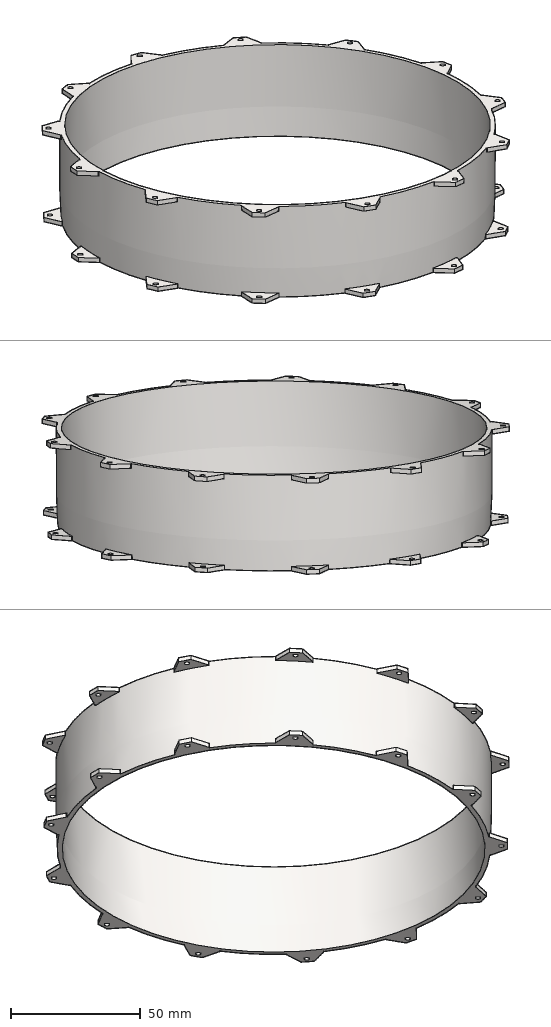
import cadquery as cq

height = 38.0
taper_height = 12.1
outer_radius = 168.0 / 2
inner_radius = 164.0 / 2
taper_inset = 0.5

tab_count = 13
tab_thickness = 1.8
tab_reach = 6.7
tab_tip_width = 5.0
tab_root_width = 14.5
hole_diameter = 2.0
hole_to_tip = 2.3
root_depth = (outer_radius - inner_radius) / 2


def make_ring():
    """Straight wall above a slightly tapered wall of the same thickness."""
    profile = [
        (inner_radius - taper_inset, 0),
        (outer_radius - taper_inset, 0),
        (outer_radius, taper_height),
        (outer_radius, height),
        (inner_radius, height),
        (inner_radius, taper_height),
    ]
    return cq.Workplane("XZ").polyline(profile).close().revolve(360, (0, 0), (0, 1))


def make_tab(wall_radius, base_z):
    """Drilled trapezoidal tab pointing along +X from a wall of the given radius."""
    tip = wall_radius + tab_reach
    inner_edge = wall_radius - root_depth
    half_root = tab_root_width / 2
    half_tip = tab_tip_width / 2
    outline = [
        (inner_edge, -half_root),
        (wall_radius, -half_root),
        (tip, -half_tip),
        (tip, half_tip),
        (wall_radius, half_root),
        (inner_edge, half_root),
    ]
    tab = cq.Workplane("XY", origin=(0, 0, base_z)).polyline(outline).close().extrude(tab_thickness)
    hole = (
        cq.Workplane("XY", origin=(tip - hole_to_tip, 0, base_z))
        .circle(hole_diameter / 2)
        .extrude(tab_thickness)
    )
    return tab.cut(hole)


result = make_ring()
tab_rows = [
    (outer_radius - taper_inset, 0),
    (outer_radius, height - tab_thickness),
]
for wall_radius, base_z in tab_rows:
    tab = make_tab(wall_radius, base_z)
    for index in range(tab_count):
        result = result.union(tab.rotate((0, 0, 0), (0, 0, 1), index * 360 / tab_count))